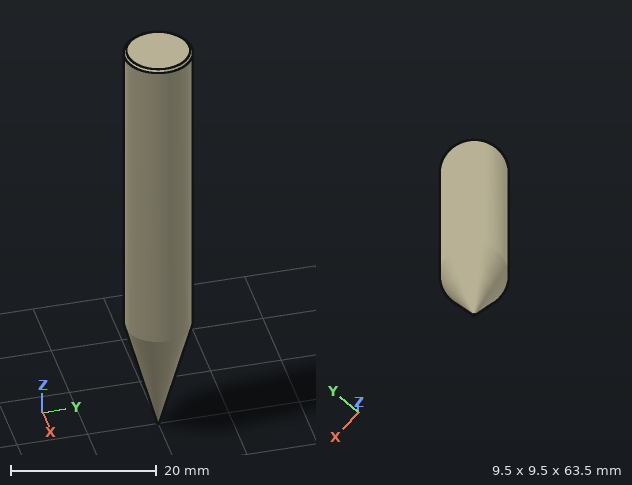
import cadquery as cq
import math

total_length = 63.5
diameter = 9.5
tip_diameter = 0.25
point_half_angle = 15
chamfer = 0.4

radius = diameter / 2
tip_radius = tip_diameter / 2
point_length = (radius - tip_radius) / math.tan(math.radians(point_half_angle))

half_profile = (
    cq.Workplane("XZ")
    .moveTo(0, 0)
    .lineTo(tip_radius, 0)
    .lineTo(radius, point_length)
    .lineTo(radius, total_length - chamfer)
    .lineTo(radius - chamfer, total_length)
    .lineTo(0, total_length)
    .close()
)

result = half_profile.revolve(360, (0, 0, 0), (0, 1, 0))